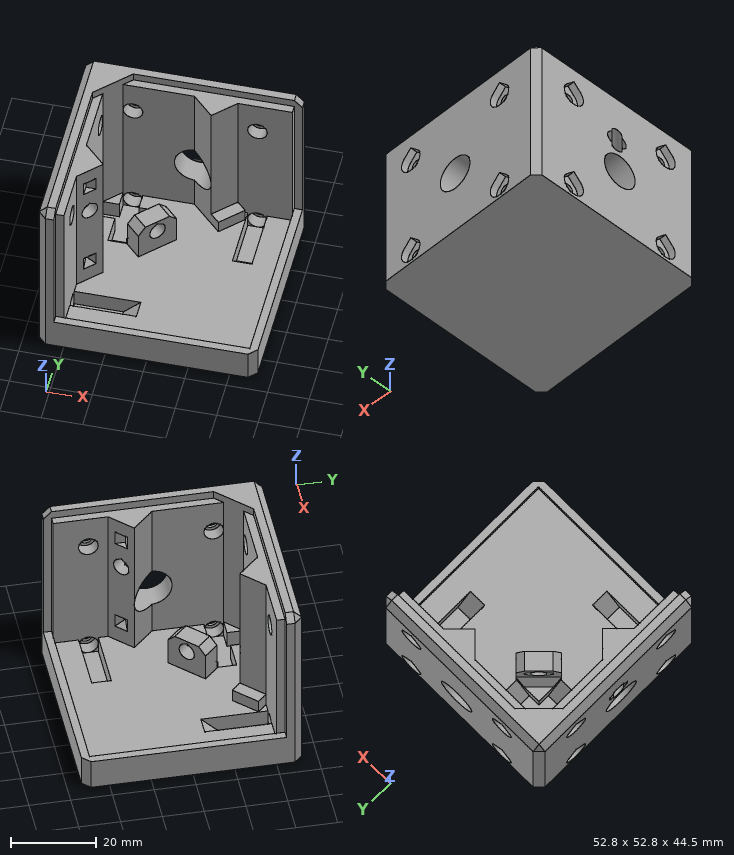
import cadquery as cq
import math


width = 52.76
height = 44.45
half_cube = 25.4
outer = width - half_cube
edge_chamfer = width - 2 * half_cube
top = half_cube
bottom = top - height

step = 2.0
rim_face = outer - 2 * step
wall_face = outer - 3 * step
open_face = half_cube - edge_chamfer
ledge_z = top - step
rim_z = bottom + 7.9
floor_z = rim_z - step
corner_leg = 8.0

beam_diameter = 10.0
screw_pitch = 30.0
screw_diameter = 3.05
head_diameter = 6.2
head_depth = 2.0
head_roof_angle = 45.0
inner_bore_diameter = 4.7
inner_bore_depth = 3.3
slot_flat_end = 9.5

ridge_offset = 5.05
ridge_height = 5.25
mirror_thickness = 3.175
mirror_ledge_z = -10.0

post_face = 10.85 / math.sqrt(2)
post_length = 10.65
post_thickness = 1.5 * mirror_thickness
post_top = -4.2
post_chamfer = 1.96
post_buttress = 2.0

adjuster_diameter = 4.29
adjuster_roof_angle = 30.0
upper_adjuster_z = 9.75
lower_adjuster_z = -7.36
pin_slot_length = 6.9
pin_slot_width = 2.35
pin_slot_start = mirror_thickness
seat_size = 3.5
cone_taper = 44.9
groove_seat_z = 17.9
cone_seat_z = lower_adjuster_z

half_root = math.sqrt(0.5)
cornerward = (-1, 1, 0)
along = (1, 1, 0)
back_along = (-1, -1, 0)

ridge_depth = (wall_face - ridge_height - ridge_offset) * half_root
ridge_shift = -(wall_face + ridge_offset) * half_root

exit_margin = 1.0
post_hole_length = post_thickness + exit_margin
ridge_hole_length = 20.0


def box(x0, x1, y0, y1, z0, z1):
    return cq.Workplane("XY").box(x1 - x0, y1 - y0, z1 - z0, centered=False).translate((x0, y0, z0))


def prism(points, z0, z1):
    return cq.Workplane("XY").workplane(offset=z0).polyline(points).close().extrude(z1 - z0)


def both_walls(shape):
    """Join a -X wall shape with its mirror image on the +Y wall."""
    return shape.union(shape.rotate((0, 0, 0), (1, -1, 0), 180).mirror("XY"))


def diagonal_plane(depth, shift, z):
    """Upright plane facing the walled corner, at a depth towards it and a shift along the mirror."""
    origin = ((shift - depth) * half_root, (shift + depth) * half_root, z)
    return cq.Workplane(cq.Plane(origin, back_along, cornerward))


def teardrop(plane, diameter, roof_angle, depth):
    """Round hole with a pointed roof tangent to it."""
    radius = diameter / 2
    angle = math.radians(roof_angle)
    side = (radius * math.sin(angle), radius * math.cos(angle))
    return (
        plane.moveTo(*side)
        .threePointArc((0, -radius), (-side[0], side[1]))
        .lineTo(0, radius / math.cos(angle))
        .close()
        .extrude(depth)
    )


def corner_fill():
    """Triangular fill across the inside corner of the two walls."""
    corner = (-rim_face, rim_face)
    return prism(
        [corner, (-rim_face + corner_leg, rim_face), (-rim_face, rim_face - corner_leg)],
        floor_z,
        top,
    )


def shell():
    """Tray and two stepped walls."""
    body = box(-outer, half_cube, -half_cube, outer, bottom, top)
    body = body.edges("|Z or >Z").chamfer(edge_chamfer)
    above_rim = box(-rim_face, half_cube, -half_cube, rim_face, rim_z, top)
    inner_wall = box(-rim_face, -wall_face, -open_face, rim_face, floor_z, ledge_z)
    tray = box(-wall_face, open_face, -open_face, wall_face, floor_z, rim_z)
    body = body.cut(above_rim.cut(corner_fill()))
    body = body.union(both_walls(inner_wall))
    return body.cut(tray.cut(corner_fill()))


def ridge():
    """Triangular ridge on the inside of the -X wall."""
    return prism(
        [
            (-wall_face, -ridge_offset - ridge_height),
            (-wall_face + ridge_height, -ridge_offset),
            (-wall_face, -ridge_offset + ridge_height),
        ],
        floor_z,
        ledge_z,
    )


def mirror_ledge():
    """Low step under the mirror, in front of the +Y ridge."""
    tip = (ridge_offset, wall_face - ridge_height)
    foot = (ridge_offset + ridge_height, wall_face)
    reach = mirror_thickness * half_root
    return prism(
        [tip, foot, (foot[0] + reach, foot[1] - reach), (tip[0] + reach, tip[1] - reach)],
        floor_z,
        mirror_ledge_z,
    )


def post():
    """Diagonal post with chamfered shoulders and a sloping buttress behind it."""
    half = post_length / 2
    shoulder = post_top - post_chamfer
    block = (
        diagonal_plane(post_face, 0, 0)
        .polyline(
            [
                (-half, floor_z),
                (half, floor_z),
                (half, shoulder),
                (half - post_chamfer, post_top),
                (post_chamfer - half, post_top),
                (-half, shoulder),
            ]
        )
        .close()
        .extrude(post_thickness)
    )
    back = post_face + post_thickness
    buttress = (
        cq.Workplane(cq.Plane((-half * half_root, -half * half_root, 0), cornerward, along))
        .polyline([(back, floor_z), (back + post_buttress, floor_z), (back, floor_z + post_buttress)])
        .close()
        .extrude(post_length)
    )
    return block.union(buttress)


def wall_holes():
    """Beam hole and four screw holes of the -X wall."""
    face = cq.Workplane("YZ", origin=(-outer, 0, 0))
    cuts = face.circle(beam_diameter / 2).extrude(outer - wall_face + ridge_height)
    offsets = (-screw_pitch / 2, screw_pitch / 2)
    screws = [(y, z) for y in offsets for z in offsets]
    cuts = cuts.union(face.pushPoints(screws).circle(screw_diameter / 2).extrude(outer - wall_face))
    inner_face = cq.Workplane("YZ", origin=(-wall_face, 0, 0))
    inner_bores = inner_face.pushPoints(screws).circle(inner_bore_diameter / 2).extrude(-inner_bore_depth)
    cuts = cuts.union(inner_bores)
    for y, z in screws:
        head = cq.Workplane("YZ", origin=(-outer, y, z))
        cuts = cuts.union(teardrop(head, head_diameter, head_roof_angle, head_depth))
    return cuts


def floor_slots():
    """Slots for the lower screws of the -X wall, ramped at the far end and clear of the buttress."""
    slot_bottom = -screw_pitch / 2 - inner_bore_diameter / 2
    ramp = floor_z - slot_bottom
    clearance_z = floor_z + post_buttress
    profile = [
        (-wall_face, slot_bottom),
        (-slot_flat_end, slot_bottom),
        (-slot_flat_end + ramp, floor_z),
        (-slot_flat_end + ramp, clearance_z),
        (-wall_face, clearance_z),
    ]
    slot = cq.Workplane("XZ").polyline(profile).close().extrude(inner_bore_diameter / 2, both=True)
    offset = screw_pitch / 2
    return slot.translate((0, offset, 0)).union(slot.translate((0, -offset, 0)))


def adjuster(depth, shift, z, length, slot_angle):
    """Adjuster hole running back from a front face, with a pin slot at the rear."""
    hole = teardrop(diagonal_plane(depth, shift, z), adjuster_diameter, adjuster_roof_angle, length)
    slot = (
        diagonal_plane(depth + pin_slot_start, shift, z)
        .slot2D(pin_slot_length, pin_slot_width, slot_angle)
        .extrude(length - pin_slot_start)
    )
    return hole.union(slot)


def kinematic_seats():
    """V groove and square cone in the front face of the -X ridge."""
    half = seat_size / 2
    groove = (
        cq.Workplane("XY", origin=(0, 0, groove_seat_z - half))
        .transformed(rotate=(0, 0, 45))
        .moveTo(ridge_shift - half, ridge_depth)
        .lineTo(ridge_shift + half, ridge_depth)
        .lineTo(ridge_shift, ridge_depth + half)
        .close()
        .extrude(seat_size)
    )
    mouth = diagonal_plane(ridge_depth, ridge_shift, cone_seat_z).rect(seat_size, seat_size)
    cone = mouth.extrude(half, taper=cone_taper)
    return groove.union(cone)


result = shell().union(both_walls(ridge())).union(mirror_ledge()).union(post())
result = result.cut(both_walls(wall_holes())).cut(both_walls(floor_slots()))
result = result.cut(adjuster(post_face, 0, lower_adjuster_z, post_hole_length, 0))
result = result.cut(adjuster(ridge_depth, ridge_shift, upper_adjuster_z, ridge_hole_length, 90))
result = result.cut(kinematic_seats())